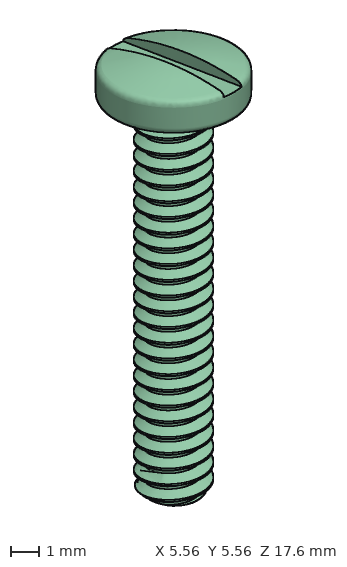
import cadquery as cq
import math

INCH = 25.4

head_radius = 0.219 * INCH / 2
head_height = 0.068 * INCH
head_fillet = 0.28
dome_sphere_radius = 0.4 * INCH
slot_width = 0.039 * INCH
slot_floor_height = 1.2
slot_overrun = 1.0

shank_length = 0.625 * INCH
major_radius = 0.112 * INCH / 2
pitch = INCH / 40
sharp_thread_height = pitch * math.sqrt(3) / 2
thread_depth = sharp_thread_height * 17 / 24
minor_radius = major_radius - thread_depth
crest_width = pitch / 8
flank_slope = math.tan(math.radians(30))
tip_chamfer = 0.35

crest_height_on_x = -0.14
overrun_turns = 2
ridge_embedment = 0.04
envelope_clearance = 0.1


def dome_height(radius):
    """Height of the spherical dome at a distance from the screw axis."""
    drop = dome_sphere_radius - math.sqrt(dome_sphere_radius**2 - radius**2)
    return head_height - drop


def make_head():
    """Domed disc with its lower and upper outer edges rounded."""
    corner_height = dome_height(head_radius)
    middle_radius = head_radius / 2

    profile = (
        cq.Workplane("XZ")
        .lineTo(head_radius, 0)
        .lineTo(head_radius, corner_height)
        .threePointArc((middle_radius, dome_height(middle_radius)), (0, head_height))
        .close()
    )
    blank = profile.revolve(360, (0, 0, 0), (0, 1, 0))
    return blank.faces("%CYLINDER").edges("%CIRCLE").fillet(head_fillet)


def make_slot():
    """Screwdriver slot running along X right across the head."""
    slot_depth = head_height - slot_floor_height
    return (
        cq.Workplane("XY", origin=(0, 0, slot_floor_height))
        .box(2 * head_radius + slot_overrun, slot_width, 2 * slot_depth, centered=(True, True, False))
    )


def make_thread_ridge():
    """Sweep the 60 degree ridge, flat at its crest, along a right-hand helix."""
    overrun = overrun_turns * pitch
    start_height = crest_height_on_x - shank_length - overrun
    helix_height = shank_length + 2 * overrun
    helix = cq.Wire.makeHelix(pitch, helix_height, minor_radius, cq.Vector(0, 0, start_height))

    base_radius = minor_radius - ridge_embedment
    crest_half = crest_width / 2
    base_half = crest_half + (major_radius - base_radius) * flank_slope
    section = (
        cq.Workplane("XZ", origin=(0, 0, start_height))
        .moveTo(base_radius, -base_half)
        .lineTo(major_radius, -crest_half)
        .lineTo(major_radius, crest_half)
        .lineTo(base_radius, base_half)
        .close()
    )
    return section.sweep(cq.Workplane(obj=helix), isFrenet=True)


def make_shank_envelope():
    """Cylinder around the thread, as long as the shank and chamfered at the tip."""
    return (
        cq.Workplane("XY")
        .circle(major_radius + envelope_clearance)
        .extrude(-shank_length)
        .faces("<Z")
        .chamfer(tip_chamfer + envelope_clearance)
    )


def make_shank():
    """Core cylinder carrying the thread ridge, trimmed to the shank length and tip."""
    core = cq.Workplane("XY").circle(minor_radius).extrude(-shank_length)
    ridge = make_thread_ridge().intersect(make_shank_envelope())
    return core.union(ridge)


result = make_head().cut(make_slot()).union(make_shank())